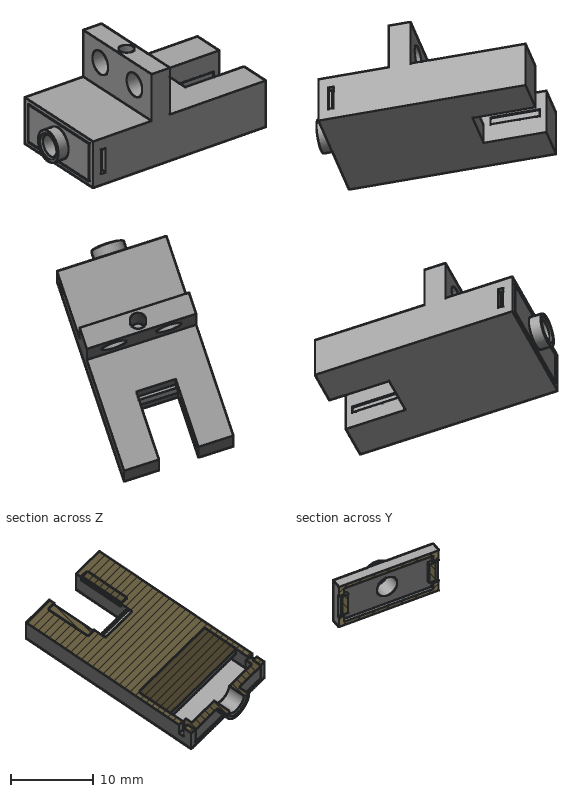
import cadquery as cq


WIDTH = 14.0
OVERALL_LENGTH = 27.75
HOUSING_LENGTH = 26.15
BODY_HEIGHT = 6.45
MID_HEIGHT = BODY_HEIGHT / 2

TOTAL_HEIGHT = 12.9
EAR_HEIGHT = TOTAL_HEIGHT - BODY_HEIGHT
EAR_THICKNESS = 2.78
EAR_REAR = 8.85
EAR_MIDDLE = EAR_REAR + EAR_THICKNESS / 2
EAR_HOLE_DIAMETER = 3.2
EAR_HOLE_SPACING = 7.0
EAR_HOLE_DROP = 3.0
TOP_HOLE_DIAMETER = 2.0

GAP_WIDTH = 5.05
GAP_DEPTH = 8.88
GAP_END = HOUSING_LENGTH - GAP_DEPTH
LEDGE_LENGTH = 0.97
LEDGE_BEVEL = 0.53
LEDGE_HEIGHT = MID_HEIGHT

LENS_TIP_MARGIN = 0.83
LENS_LENGTH = GAP_DEPTH - LEDGE_LENGTH - 2 * LENS_TIP_MARGIN
LENS_HEIGHT = 1.05
LENS_THICKNESS = 1.0
LENS_RECESS = 0.17

SIDE_WALL = 0.78
TOP_WALL = 0.6
CAVITY_WIDTH = WIDTH - 2 * SIDE_WALL
CAVITY_HEIGHT = BODY_HEIGHT - 2 * TOP_WALL
CAVITY_DEPTH = EAR_REAR
SLOT_START = 1.22
SLOT_LENGTH = 0.7
SLOT_HEIGHT = 3.33
CORE_BOTTOM = 2.4
CORE_HEIGHT = 1.97
CORE_LENGTH = 5.0

PLATE_PROUD = 0.08
PLATE_THICKNESS = 1.0
TUBE_END = OVERALL_LENGTH - HOUSING_LENGTH
TUBE_DIAMETER = 4.2
BORE_DIAMETER = 2.83
BORE_MOUTH_DIAMETER = 3.35
BORE_CHAMFER = (BORE_MOUTH_DIAMETER - BORE_DIAMETER) / 2
HOOK_HEIGHT = 3.0
HOOK_REACH = 0.33
HOOK_LAND = 0.4
HOOK_RAMP_LENGTH = 0.3
HOOK_RAMP_DROP = 0.55
HOOK_ARM_THICKNESS = 0.55


def block(x_range, y_range, z_range):
    """Box between two limits on each axis."""
    (x0, x1), (y0, y1), (z0, z1) = x_range, y_range, z_range
    return cq.Workplane("XY").box(x1 - x0, y1 - y0, z1 - z0, centered=False).translate((x0, y0, z0))


def centred(size, middle=0.0):
    """Limits of a length centred on a given place."""
    return (middle - size / 2, middle + size / 2)


def cylinder_along_y(diameter, y_start, y_end, x, z):
    """Round bar from y_start to y_end."""
    direction = cq.Vector(0, 1, 0)
    bar = cq.Solid.makeCylinder(diameter / 2, y_end - y_start, cq.Vector(x, y_start, z), direction)
    return cq.Workplane(obj=bar)


def make_ledge():
    """Ledge at the closed end of the gap, with its upper front edge bevelled."""
    ledge_front = GAP_END + LEDGE_LENGTH
    profile = [
        (GAP_END, 0),
        (ledge_front, 0),
        (ledge_front, LEDGE_HEIGHT - LEDGE_BEVEL),
        (ledge_front - LEDGE_BEVEL, LEDGE_HEIGHT),
        (GAP_END, LEDGE_HEIGHT),
    ]
    return cq.Workplane("YZ").polyline(profile).close().extrude(GAP_WIDTH / 2, both=True)


def make_lens_seat(side):
    """Pocket in the inner face of one prong; side is -1 or 1."""
    middle = side * (GAP_WIDTH + LENS_RECESS + LENS_THICKNESS) / 2
    lens_end = HOUSING_LENGTH - LENS_TIP_MARGIN
    return block(
        centred(LENS_RECESS + LENS_THICKNESS, middle),
        (lens_end - LENS_LENGTH, lens_end),
        centred(LENS_HEIGHT, MID_HEIGHT),
    )


def make_lens(side):
    """Lens at the bottom of its pocket, sunk below the inner face of the prong."""
    recess = block(
        centred(GAP_WIDTH + 2 * LENS_RECESS),
        (GAP_END, HOUSING_LENGTH),
        (0, BODY_HEIGHT),
    )
    return make_lens_seat(side).cut(recess)


def make_housing():
    """Forked housing with the ear, its holes, the rear cavity and the side slots."""
    housing = block(centred(WIDTH), (0, HOUSING_LENGTH), (0, BODY_HEIGHT))
    ear = block(centred(WIDTH), (EAR_REAR, EAR_REAR + EAR_THICKNESS), (BODY_HEIGHT, TOTAL_HEIGHT))
    gap = block(centred(GAP_WIDTH), (GAP_END, HOUSING_LENGTH), (0, BODY_HEIGHT))
    housing = housing.union(ear).cut(gap).union(make_ledge())

    for side in (-1, 1):
        ear_hole = cylinder_along_y(
            EAR_HOLE_DIAMETER,
            EAR_REAR,
            EAR_REAR + EAR_THICKNESS,
            side * EAR_HOLE_SPACING / 2,
            TOTAL_HEIGHT - EAR_HOLE_DROP,
        )
        housing = housing.cut(ear_hole).cut(make_lens_seat(side))

    top_hole = cq.Workplane("XY", origin=(0, EAR_MIDDLE, BODY_HEIGHT))
    housing = housing.cut(top_hole.circle(TOP_HOLE_DIAMETER / 2).extrude(EAR_HEIGHT))

    cavity = block(centred(CAVITY_WIDTH), (0, CAVITY_DEPTH), centred(CAVITY_HEIGHT, MID_HEIGHT))
    side_slots = block(
        centred(WIDTH),
        (SLOT_START, SLOT_START + SLOT_LENGTH),
        centred(SLOT_HEIGHT, MID_HEIGHT),
    )
    return housing.cut(cavity).cut(side_slots)


def make_core():
    """Block across the inner end of the cavity."""
    return block(
        centred(CAVITY_WIDTH),
        (CAVITY_DEPTH - CORE_LENGTH, CAVITY_DEPTH),
        (CORE_BOTTOM, CORE_BOTTOM + CORE_HEIGHT),
    )


def make_hook(side):
    """Snap arm along the cavity wall, with a ramped barb that catches the rear end of the side slot."""
    wall = CAVITY_WIDTH / 2
    barb = wall + HOOK_REACH
    inner = wall - HOOK_ARM_THICKNESS
    land_end = SLOT_START + HOOK_LAND
    ramp_end = land_end + HOOK_RAMP_LENGTH
    profile = [
        (inner, PLATE_THICKNESS),
        (wall, PLATE_THICKNESS),
        (wall, SLOT_START),
        (barb, SLOT_START),
        (barb, land_end),
        (barb - HOOK_RAMP_DROP, ramp_end),
        (inner, ramp_end),
    ]
    outline = [(side * x, y) for x, y in profile]
    hook = cq.Workplane("XY").polyline(outline).close().extrude(HOOK_HEIGHT)
    return hook.translate((0, 0, MID_HEIGHT - HOOK_HEIGHT / 2))


def make_cover():
    """Plate closing the cavity, with the bored cable tube and the snap hooks."""
    plate = block(
        centred(CAVITY_WIDTH),
        (-PLATE_PROUD, PLATE_THICKNESS),
        centred(CAVITY_HEIGHT, MID_HEIGHT),
    )
    tube = cylinder_along_y(TUBE_DIAMETER, -TUBE_END, PLATE_THICKNESS, 0, MID_HEIGHT)
    bore = cylinder_along_y(BORE_DIAMETER, -TUBE_END, PLATE_THICKNESS, 0, MID_HEIGHT)
    mouth = cq.Workplane(
        obj=cq.Solid.makeCone(
            BORE_MOUTH_DIAMETER / 2,
            BORE_DIAMETER / 2,
            BORE_CHAMFER,
            cq.Vector(0, -TUBE_END, MID_HEIGHT),
            cq.Vector(0, 1, 0),
        )
    )
    cover = plate.union(tube).cut(bore).cut(mouth)
    for side in (-1, 1):
        cover = cover.union(make_hook(side))
    return cover


housing = make_housing()
cover = make_cover()
core = make_core()
lenses = [make_lens(side) for side in (-1, 1)]

result = cq.Compound.makeCompound(
    [housing.val(), cover.val(), core.val(), *[lens.val() for lens in lenses]]
)